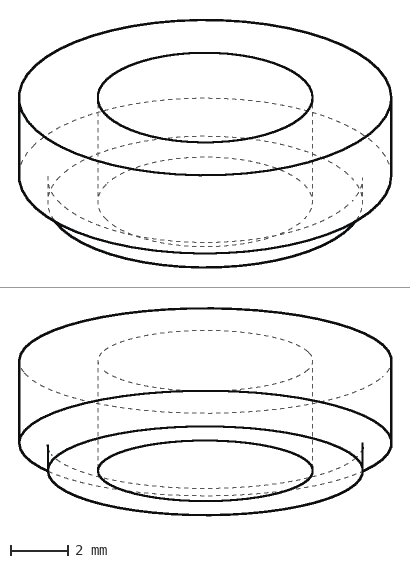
import cadquery as cq

outer_diameter = 13.0
spigot_diameter = 11.0
bore_diameter = 7.5
total_height = 4.0
spigot_height = 1.0
corner_fillet = 0.1

ring_height = total_height - spigot_height

spigot = cq.Workplane("XY").circle(spigot_diameter / 2).extrude(total_height)
ring = (
    cq.Workplane("XY")
    .workplane(offset=spigot_height)
    .circle(outer_diameter / 2)
    .extrude(ring_height)
)
body = spigot.union(ring)

ring_underside = body.faces("|Z").faces("<Z[1]")
shoulder_edge = ring_underside.edges(cq.selectors.RadiusNthSelector(0))
body = shoulder_edge.fillet(corner_fillet)

bore = cq.Workplane("XY").circle(bore_diameter / 2).extrude(total_height)
result = body.cut(bore)